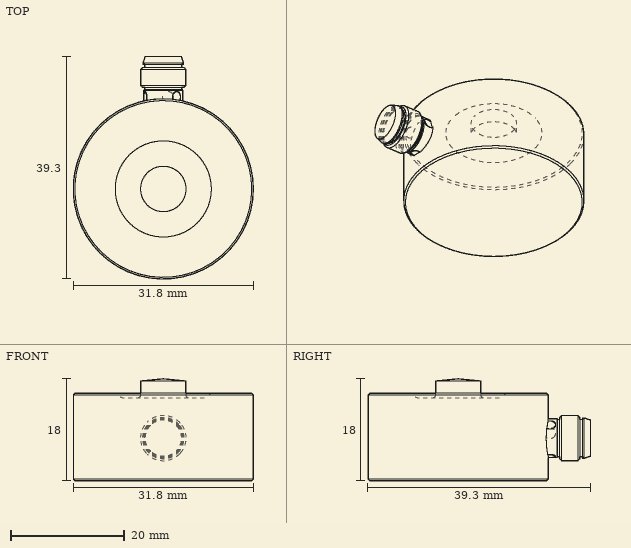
import cadquery as cq

body_diameter = 31.8
body_height = 15.45
body_chamfer = 0.3
body_radius = body_diameter / 2

recess_mouth_diameter = 16.95
recess_foot_diameter = 14.6
recess_depth = 0.82
recess_fillet = 0.5
floor_height = body_height - recess_depth

button_diameter = 8.0
button_cone_height = 0.4
total_height = 18.0
button_edge_height = total_height - button_cone_height

total_length = 39.25
connector_height = 7.55
connector_end = total_length - body_radius
connector_root = body_radius / 2
tip_diameter = 6.4
ring_diameter = 7.2
neck_diameter = 6.6
nut_diameter = 8.0
nut_chamfer = 0.35
base_diameter = 6.9
base_chamfer = (base_diameter - neck_diameter) / 2

taper_end = 1.15
ring_end = 1.4
nut_start = 1.92
nut_end = 5.45
base_start = 5.8

spot_diameter = 2.0
spot_floor_radius = 3.25
spot_distance = 7.2
spot_count = 3
first_spot_angle = 45.0


def make_body():
    disc = cq.Workplane("XY").circle(body_radius).extrude(body_height)
    return disc.faces("<Z or >Z").edges().chamfer(body_chamfer)


def make_recess():
    """Conical dish, rounded where its wall meets the floor."""
    dish = (
        cq.Workplane("XY", origin=(0, 0, floor_height))
        .circle(recess_foot_diameter / 2)
        .workplane(offset=recess_depth)
        .circle(recess_mouth_diameter / 2)
        .loft()
    )
    return dish.faces("<Z").edges().fillet(recess_fillet)


def make_button():
    """Button with a conical tip and a concave fillet at its foot."""
    radius = button_diameter / 2
    foot_radius = radius + recess_fillet
    fillet_top = floor_height + recess_fillet
    arc_offset = recess_fillet * (1 - 0.5 ** 0.5)
    profile = (
        cq.Workplane("XZ")
        .moveTo(0, body_height / 2)
        .lineTo(foot_radius, body_height / 2)
        .lineTo(foot_radius, floor_height)
        .threePointArc((radius + arc_offset, floor_height + arc_offset), (radius, fillet_top))
        .lineTo(radius, button_edge_height)
        .lineTo(0, total_height)
        .close()
    )
    return profile.revolve(360, (0, 0, 0), (0, 1, 0))


def make_connector():
    """Stepped plug turned about an axis parallel to Y."""
    tip = tip_diameter / 2
    ring = ring_diameter / 2
    neck = neck_diameter / 2
    nut = nut_diameter / 2
    base = base_diameter / 2
    steps = [
        (0, 0),
        (tip, 0),
        (ring, taper_end),
        (ring, ring_end),
        (neck, ring_end),
        (neck, nut_start),
        (nut - nut_chamfer, nut_start),
        (nut, nut_start + nut_chamfer),
        (nut, nut_end - nut_chamfer),
        (nut - nut_chamfer, nut_end),
        (neck, nut_end),
        (neck, base_start),
        (base, base_start + base_chamfer),
        (base, connector_end - connector_root),
        (0, connector_end - connector_root),
    ]
    outline = [(radius, connector_end - distance) for radius, distance in steps]
    plug = cq.Workplane("XY").polyline(outline).close().revolve(360, (0, 0, 0), (0, 1, 0))
    for index in range(spot_count):
        plug = plug.cut(make_spot(first_spot_angle + index * 360 / spot_count))
    return plug.translate((0, 0, connector_height))


def make_spot(angle):
    """Cutter for one spot, turned from +X towards +Z by the angle."""
    cutter = (
        cq.Workplane("YZ", origin=(spot_floor_radius, connector_end - spot_distance, 0))
        .circle(spot_diameter / 2)
        .extrude(base_diameter / 2)
    )
    return cutter.rotate((0, 0, 0), (0, 1, 0), -angle)


result = make_body().cut(make_recess()).union(make_button()).union(make_connector())